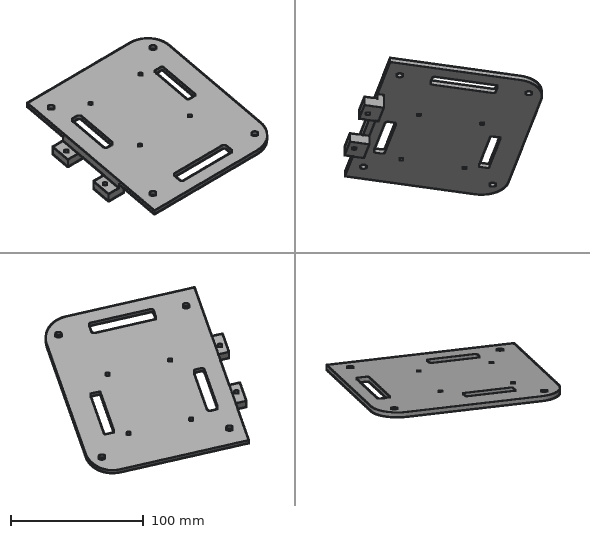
import cadquery as cq

plate_length = 150.0
plate_width = 122.0
plate_thickness = 4.0
back_corner_radius = 21.0
front_edge = -plate_width / 2

corner_hole_diameter = 5.0
corner_hole_spacing_x = 120.0
corner_hole_inset_y = 11.0
mount_hole_diameter = 3.0
mount_hole_spacing_x = 58.0
mount_hole_spacing_y = 49.0
mount_center_x = -15.0

cross_slot_center_x = -20.1
back_slot_length = 39.9
back_slot_width = 8.0
back_slot_radius = 1.0
back_slot_y = 38.4
front_slot_length = 40.5
front_slot_width = 8.4
front_slot_radius = 2.2
front_slot_y = -42.8
side_slot_length = 50.5
side_slot_width = 10.0
side_slot_radius = 2.0
side_slot_x = 59.1

bracket_span = 66.0
web_depth = 5.0
web_bottom = -8.1
tab_length = 18.0
tab_overhang = 10.0
tab_thickness = 8.0
tab_hole_diameter = 3.3
tab_hole_spacing = 45.6


def make_plate():
    blank = cq.Workplane("XY").box(
        plate_length, plate_width, plate_thickness, centered=(True, True, False)
    )
    return blank.translate((0, 0, -plate_thickness)).edges("|Z and >Y").fillet(back_corner_radius)


def hole_pattern(center_x, spacing_x, spacing_y, diameter):
    """Cutters for a rectangular pattern of four through holes."""
    return (
        cq.Workplane("XY")
        .center(center_x, 0)
        .rect(spacing_x, spacing_y, forConstruction=True)
        .vertices()
        .circle(diameter / 2)
        .extrude(-plate_thickness)
    )


def slot(center_x, center_y, size_x, size_y, radius):
    """Cutter for a rectangular through slot with rounded corners."""
    block = cq.Workplane("XY").center(center_x, center_y).rect(size_x, size_y)
    return block.extrude(-plate_thickness).edges("|Z").fillet(radius)


def make_web():
    web_height = -plate_thickness - web_bottom
    return (
        cq.Workplane("XY", origin=(0, front_edge + web_depth / 2, web_bottom))
        .rect(bracket_span, web_depth)
        .extrude(web_height)
    )


def make_tab(side):
    """Tab below the web, at the left (side -1) or right (side 1) end."""
    tab_x = side * (bracket_span - tab_length) / 2
    tab_depth = web_depth + tab_overhang
    tab_y = front_edge + web_depth - tab_depth / 2
    hole_x = side * tab_hole_spacing / 2
    hole_y = front_edge - tab_overhang / 2
    body = cq.Workplane("XY", origin=(tab_x, tab_y, web_bottom)).rect(tab_length, tab_depth)
    hole = cq.Workplane("XY", origin=(hole_x, hole_y, web_bottom)).circle(tab_hole_diameter / 2)
    return body.extrude(-tab_thickness).cut(hole.extrude(-tab_thickness))


corner_hole_spacing_y = plate_width - 2 * corner_hole_inset_y

result = (
    make_plate()
    .cut(hole_pattern(0, corner_hole_spacing_x, corner_hole_spacing_y, corner_hole_diameter))
    .cut(hole_pattern(mount_center_x, mount_hole_spacing_x, mount_hole_spacing_y, mount_hole_diameter))
    .cut(slot(cross_slot_center_x, back_slot_y, back_slot_length, back_slot_width, back_slot_radius))
    .cut(slot(cross_slot_center_x, front_slot_y, front_slot_length, front_slot_width, front_slot_radius))
    .cut(slot(side_slot_x, 0, side_slot_width, side_slot_length, side_slot_radius))
    .union(make_web())
)
for side in (-1, 1):
    result = result.union(make_tab(side))